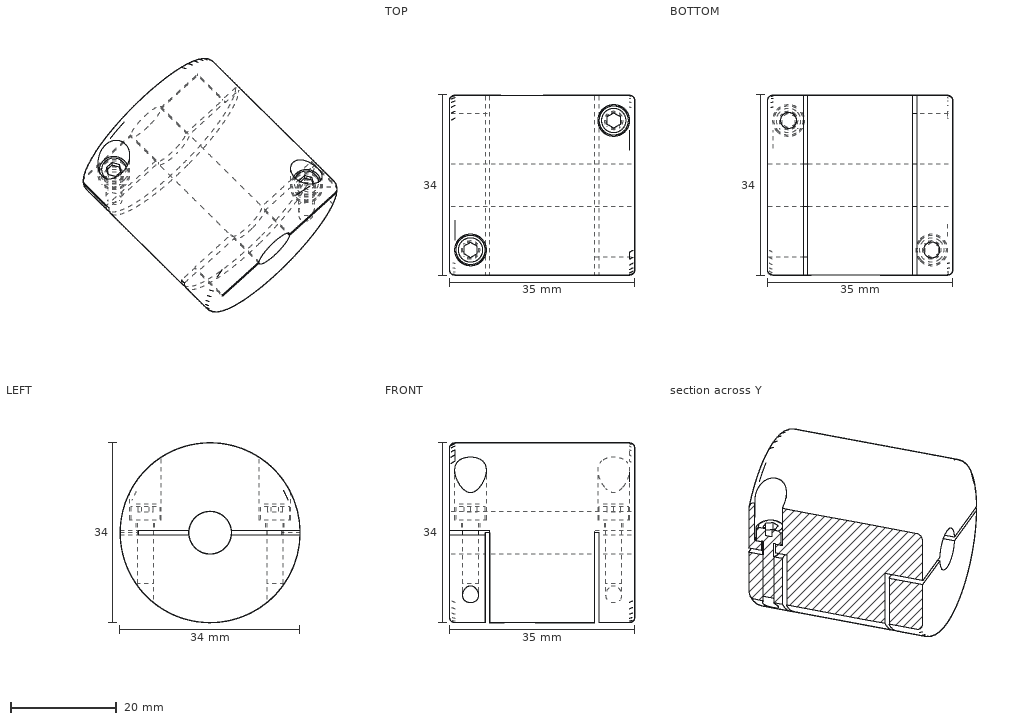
import cadquery as cq

LENGTH = 35.0
DIAMETER = 34.0
BORE_DIAMETER = 8.0
RIM_FILLET = 1.0
SLEEVE_LENGTH = 11.0

SLIT_WIDTH = 0.8
CLAMP_LENGTH = 6.8
SLIT_END_OFFSET = 13.5

SCREW_DIAMETER = 3.0
SCREW_LENGTH = 12.0
SCREW_FROM_END = 4.0
SCREW_OFFSET = 12.2
HEAD_DIAMETER = 5.5
HEAD_HEIGHT = SCREW_DIAMETER
HEAD_TOP = 5.42
HEAD_CHAMFER = 0.45
SOCKET_FLATS = 2.5
SOCKET_DEPTH = HEAD_HEIGHT / 2

COUNTERBORE_DIAMETER = 6.0
CLEARANCE_DIAMETER = 3.5

RADIUS = DIAMETER / 2
END_X = -LENGTH / 2
HUB_LENGTH = (LENGTH - SLEEVE_LENGTH) / 2
SCREW_X = END_X + SCREW_FROM_END
SEAT_Z = HEAD_TOP - HEAD_HEIGHT

END_ANGLES = (0, 180)


def turned(shape, angle):
    """Turn a shape of the left end about Z."""
    return shape.rotate((0, 0, 0), (0, 0, 1), angle)


def disc(start_x, length):
    """Solid stretch of the coupling, with its cylinder seam on the -Y side."""
    plane = cq.Plane(origin=(start_x, 0, 0), xDir=(0, -1, 0), normal=(1, 0, 0))
    return cq.Workplane(plane).circle(RADIUS).extrude(length)


def box_between(low, high):
    """Box given by two opposite corners."""
    size = [b - a for a, b in zip(low, high)]
    return cq.Workplane("XY").box(*size, centered=False).translate(low)


def on_screw_axis(diameter, bottom, top):
    """Cylinder on the left screw axis between two heights."""
    base = cq.Workplane("XY", origin=(SCREW_X, -SCREW_OFFSET, bottom))
    return base.circle(diameter / 2).extrude(top - bottom)


def clamp_slits():
    """Axial slit open on the -Y side, and the cross slit that frees the lower jaw."""
    jaw_x = END_X + CLAMP_LENGTH
    far_x = jaw_x + SLIT_WIDTH
    axial = box_between((END_X, -RADIUS, -SLIT_WIDTH / 2), (far_x, SLIT_END_OFFSET, SLIT_WIDTH / 2))
    cross = box_between((jaw_x, -RADIUS, -RADIUS), (far_x, RADIUS, 0))
    return axial.union(cross)


def screw_hole():
    """Counterbore and clearance hole in the upper jaw, screw hole through the lower jaw."""
    counterbore = on_screw_axis(COUNTERBORE_DIAMETER, SEAT_Z, RADIUS)
    clearance = on_screw_axis(CLEARANCE_DIAMETER, 0, SEAT_Z)
    threaded = on_screw_axis(SCREW_DIAMETER, -RADIUS, 0)
    return counterbore.union(clearance).union(threaded)


def make_hub():
    """Clamp hub of the left end, still without the bore."""
    hub = disc(END_X, HUB_LENGTH).faces("<X").edges().fillet(RIM_FILLET)
    return hub.cut(clamp_slits()).cut(screw_hole())


def make_coupling():
    """Two clamp hubs joined by the plain sleeve; the faces stay divided at the sleeve ends."""
    coupling = disc(-SLEEVE_LENGTH / 2, SLEEVE_LENGTH)
    hub = make_hub()
    for angle in END_ANGLES:
        coupling = coupling.union(turned(hub, angle), clean=False)
    bore = cq.Workplane("YZ", origin=(END_X, 0, 0)).circle(BORE_DIAMETER / 2).extrude(LENGTH)
    return coupling.cut(bore, clean=False)


def make_screw(angle):
    """Socket head screw that clamps the hub at the given angle."""
    head = on_screw_axis(HEAD_DIAMETER, SEAT_Z, HEAD_TOP).faces(">Z").chamfer(HEAD_CHAMFER)
    shank = on_screw_axis(SCREW_DIAMETER, SEAT_Z - SCREW_LENGTH, SEAT_Z)
    socket = (
        cq.Workplane("XY", origin=(SCREW_X, -SCREW_OFFSET, HEAD_TOP))
        .polygon(6, SOCKET_FLATS, circumscribed=True)
        .extrude(-SOCKET_DEPTH)
    )
    return turned(head.union(shank).cut(socket), angle)


coupling_body = make_coupling()
clamp_screws = [make_screw(angle) for angle in END_ANGLES]

result = cq.Compound.makeCompound(
    [coupling_body.solids().val(), *(screw.solids().val() for screw in clamp_screws)]
)